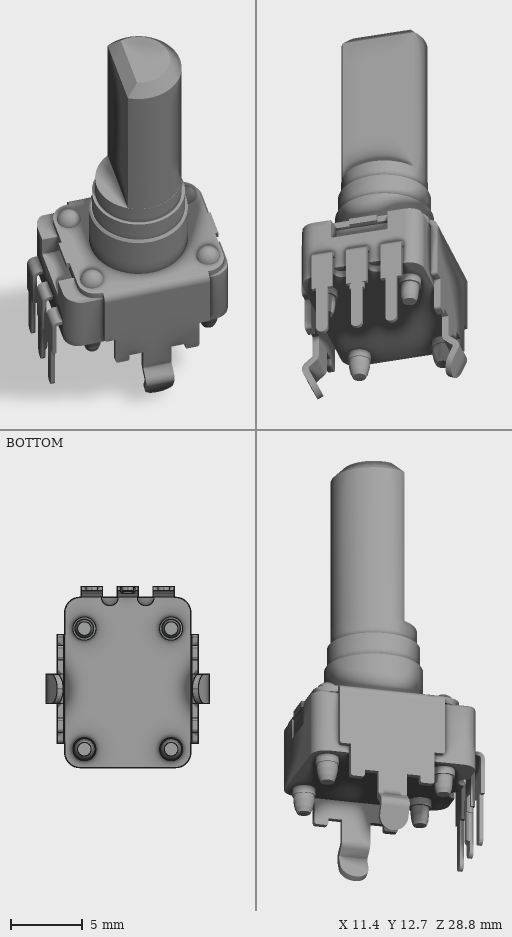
import cadquery as cq
import math


shaft_diameter = 6.02
base_diameter = 6.05
overall_height = 28.8
shaft_top = 18.15
shaft_chamfer = 0.8
flat_offset = 1.5
flat_bottom = 6.13
neck_diameter = 6.5
neck_top = 4.8
bushing_diameter = 6.9
bushing_top = 3.28
bushing_chamfer = 0.15

sheet = 0.45
plate_width = 8.78
plate_depth = 10.55
plate_corner = 1.3
plate_tab_width = 2.02
plate_tab_span = 11.0
wall_outer = 4.92
wall_bend = 0.1
wall_half_depth = 3.8
wall_shoulder = -4.5
leg_outer = 3.02
leg_inner = 2.02
leg_bottom = -6.85
notch_top = -6.35
wall_corner = 0.17

tab_width = 2.05
tab_start = -8.04
tab_flare_angle = math.radians(40)
tab_return_angle = math.radians(25)
tab_knee_x = 5.55
tab_bend = 0.15
tab_bottom = shaft_top - overall_height
tab_tip_radius = 1.0

housing_width = 8.8
housing_back = 5.5
housing_front = -6.4
housing_bottom = -4.95
housing_corner = 1.1
housing_edge_chamfer = 0.15
window_width = 4.1
window_depth = 1.4
window_bottom = -1.93
back_window_width = 2.95
back_window_depth = 0.15
scallop_diameter = 1.18
scallop_top = -4.45

rivet_x = 3.0
rivet_y = 4.2
rivet_diameter = 1.65
rivet_height = 0.7
peg_x = 3.02
peg_diameter = 1.6
peg_shoulder = -5.47
peg_taper_top = -5.9
peg_end_diameter = 0.95
peg_chamfer_top = -6.42
peg_bottom = -6.77
front_peg_top_diameter = 1.3
front_peg_low_diameter = 1.18
back_peg_top_diameter = 1.47
back_peg_low_diameter = 1.25

terminal_count = 3
terminal_pitch = 2.5
terminal_front = -7.15
terminal_top = -3.37
terminal_sheet = 0.3
terminal_bend = 0.2
terminal_width = 1.5
terminal_shoulder = -6.45
terminal_tip_width = 0.8
terminal_bottom = -10.08
terminal_tip_radius = 0.37
rib_depth = 0.2
rib_top = -5.55
rib_bottom = -9.0
rib_wide_width = 1.05
rib_wide_bottom = -6.85
rib_chamfer = 0.15


def slab(width, depth, bottom, top):
    """Upright box centred on the shaft axis."""
    return cq.Workplane("XY").workplane(offset=bottom).rect(width, depth).extrude(top - bottom)


def bent_strip(plane, path, thickness, inner_radius, width):
    """Sheet that follows a centre line with round bends, extruded evenly to both sides."""
    half = thickness / 2
    points = [cq.Vector(u, v) for u, v in path]
    steps = [(b - a).normalized() for a, b in zip(points, points[1:])]
    sides = [cq.Vector(-step.y, step.x) for step in steps]

    def edge_of(side):
        """One long edge: its start, a (start, middle, end) arc per bend, and its end."""
        arcs = []
        for i in range(1, len(steps)):
            turn = math.atan2(steps[i - 1].cross(steps[i]).z, steps[i - 1].dot(steps[i]))
            hand = math.copysign(1, turn)
            middle_radius = inner_radius + half
            setback = middle_radius * math.tan(abs(turn) / 2)
            centre = points[i] - steps[i - 1] * setback + sides[i - 1] * (hand * middle_radius)
            reach = side * half - hand * middle_radius
            mid_side = (sides[i - 1] + sides[i]).normalized()
            arcs.append([centre + n * reach for n in (sides[i - 1], mid_side, sides[i])])
        return points[0] + sides[0] * (side * half), arcs, points[-1] + sides[-1] * (side * half)

    start, arcs, end = edge_of(1)
    back_start, back_arcs, back_end = edge_of(-1)
    outline = cq.Workplane(plane).moveTo(start.x, start.y)
    for first, middle, last in arcs:
        outline = outline.lineTo(first.x, first.y).threePointArc((middle.x, middle.y), (last.x, last.y))
    outline = outline.lineTo(end.x, end.y).lineTo(back_end.x, back_end.y)
    for first, middle, last in reversed(back_arcs):
        outline = outline.lineTo(last.x, last.y).threePointArc((middle.x, middle.y), (first.x, first.y))
    return outline.lineTo(back_start.x, back_start.y).close().extrude(width / 2, both=True)


def make_shaft():
    """D-shaped shaft on a round base, inside a neck and a chamfered bushing."""
    bushing = cq.Workplane("XY").circle(bushing_diameter / 2).extrude(bushing_top)
    bushing = bushing.faces(">Z").edges().chamfer(bushing_chamfer)
    neck = cq.Workplane("XY").circle(neck_diameter / 2).extrude(neck_top)
    base = cq.Workplane("XY").circle(base_diameter / 2).extrude(flat_bottom)
    d_height = shaft_top - flat_bottom
    d_shaft = cq.Workplane("XY").workplane(offset=flat_bottom).circle(shaft_diameter / 2).extrude(d_height)
    removed = slab(shaft_diameter, shaft_diameter, flat_bottom, shaft_top)
    d_shaft = d_shaft.cut(removed.translate((0, -flat_offset - shaft_diameter / 2, 0)))
    d_shaft = d_shaft.faces(">Z").edges().chamfer(shaft_chamfer)
    return bushing.union(neck).union(base).union(d_shaft)


def make_plate():
    """Cover plate with rounded corners, end tabs and four rivet heads."""
    plate = slab(plate_width, plate_depth, -sheet, 0).edges("|Z").fillet(plate_corner)
    plate = plate.union(slab(plate_tab_width, plate_tab_span, -sheet, 0))
    sphere_radius = (rivet_diameter**2 / 4 + rivet_height**2) / (2 * rivet_height)
    corners = [(x, y) for x in (-rivet_x, rivet_x) for y in (-rivet_y, rivet_y)]
    heads = cq.Workplane("XY").workplane(offset=rivet_height - sphere_radius)
    heads = heads.pushPoints(corners).sphere(sphere_radius)
    return plate.union(heads.intersect(slab(plate_width, plate_depth, -sheet, rivet_height)))


def make_side_wall():
    """Right-hand wall folded down from the plate, with two short legs and a spring tab."""
    wall_x = wall_outer - sheet / 2
    plate_edge = (plate_width / 2 - sheet, -sheet / 2)
    fold = (wall_x, -sheet / 2)
    wall = bent_strip("XZ", [plate_edge, fold, (wall_x, leg_bottom)], sheet, wall_bend, 2 * wall_half_depth)

    upper = slab(2 * wall_outer, 2 * wall_half_depth, wall_shoulder, 0)
    upper = upper.edges("|X and <Z").fillet(wall_corner)
    legs = slab(2 * wall_outer, 2 * leg_outer, leg_bottom, -sheet)
    legs = legs.cut(slab(2 * wall_outer, 2 * leg_inner, leg_bottom, notch_top))
    legs = legs.edges("|X and <Z").fillet(wall_corner)
    wall = wall.intersect(upper.union(legs))

    knee_z = tab_start - (tab_knee_x - wall_x) * math.tan(tab_flare_angle)
    tip_z = tab_bottom + sheet / 2 * math.sin(tab_return_angle)
    tip_x = tab_knee_x - (knee_z - tip_z) * math.tan(tab_return_angle)
    tab_path = [(wall_x, wall_shoulder), (wall_x, tab_start), (tab_knee_x, knee_z), (tip_x, tip_z)]
    tab = bent_strip("XZ", tab_path, sheet, tab_bend, tab_width)
    across_tip = cq.Vector(math.cos(tab_return_angle), 0, -math.sin(tab_return_angle))
    tab = tab.edges(cq.selectors.ParallelDirSelector(across_tip)).fillet(tab_tip_radius)
    return wall.union(tab)


def make_housing():
    """Moulded housing with windows under the plate and scallops between the terminals."""
    depth = housing_back - housing_front
    middle_y = (housing_back + housing_front) / 2
    housing = slab(housing_width, depth, housing_bottom, -sheet).edges("|Z").fillet(housing_corner)
    bevelled = slab(housing_width, depth, housing_bottom, -sheet)
    bevelled = bevelled.edges("|Y and >Z").chamfer(housing_edge_chamfer)
    housing = housing.intersect(bevelled).translate((0, middle_y, 0))

    front_window = slab(window_width, 2 * window_depth, window_bottom, -sheet)
    back_window = slab(back_window_width, 2 * back_window_depth, window_bottom, -sheet)
    housing = housing.cut(front_window.translate((0, housing_front, 0)))
    housing = housing.cut(back_window.translate((0, housing_back, 0)))
    gaps = [((i + 1 - terminal_count / 2) * terminal_pitch, housing_front) for i in range(terminal_count - 1)]
    scallops = cq.Workplane("XY").workplane(offset=housing_bottom).pushPoints(gaps)
    return housing.cut(scallops.circle(scallop_diameter / 2).extrude(scallop_top - housing_bottom))


def make_peg(top_diameter, low_diameter):
    """Locating peg below the housing, turned about its own axis."""
    profile = [
        (0, housing_bottom),
        (peg_diameter / 2, housing_bottom),
        (peg_diameter / 2, peg_shoulder),
        (top_diameter / 2, peg_shoulder),
        (top_diameter / 2, peg_taper_top),
        (low_diameter / 2, peg_chamfer_top),
        (peg_end_diameter / 2, peg_bottom),
        (0, peg_bottom),
    ]
    return cq.Workplane("XZ").polyline(profile).close().revolve(360, (0, 0, 0), (0, 1, 0))


def make_terminal():
    """Bent terminal that narrows to a rounded pin."""
    pin_y = terminal_front + terminal_sheet / 2
    arm_z = terminal_top - terminal_sheet / 2
    path = [(housing_front, arm_z), (pin_y, arm_z), (pin_y, terminal_bottom)]
    strip = bent_strip("YZ", path, terminal_sheet, terminal_bend, terminal_width)
    room = -2 * terminal_front
    outline = slab(terminal_tip_width, room, terminal_bottom, terminal_top)
    outline = outline.edges("|Y and <Z").fillet(terminal_tip_radius)
    return strip.intersect(outline.union(slab(terminal_width, room, terminal_shoulder, terminal_top)))


def make_rib():
    """Stiffening rib on the back of the middle terminal."""
    narrow = slab(terminal_tip_width, 2 * rib_depth, rib_bottom, rib_top)
    wide = slab(rib_wide_width, 2 * rib_depth, rib_wide_bottom, rib_top)
    rib = narrow.union(wide).faces(">Y").edges().chamfer(rib_chamfer)
    return rib.translate((0, terminal_front + terminal_sheet, 0))


side_wall = make_side_wall()
result = make_housing().union(make_plate()).union(make_shaft())
result = result.union(side_wall).union(side_wall.mirror("YZ"))

front_peg = make_peg(front_peg_top_diameter, front_peg_low_diameter)
back_peg = make_peg(back_peg_top_diameter, back_peg_low_diameter)
for x in (-peg_x, peg_x):
    result = result.union(front_peg.translate((x, -rivet_y, 0)))
    result = result.union(back_peg.translate((x, rivet_y, 0)))

terminal = make_terminal()
for i in range(terminal_count):
    terminal_x = (i - (terminal_count - 1) / 2) * terminal_pitch
    result = result.union(terminal.translate((terminal_x, 0, 0)))
result = result.union(make_rib())